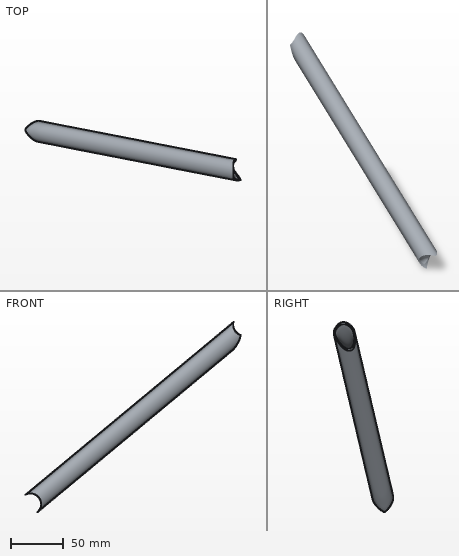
import cadquery as cq
tube_radius = 10.0
wall = 1.5
tube_length = 267.7
tube_rise = 0.83
tube_drift = -0.195
foot = cq.Vector(-96.8, 19.8, -82.8)
overrun = 10.2

cross_notch_radius = 10.1
foot_notch_offset = 0.1
head_cross_x = 105.6
head_cross_z = 87.5

lean_notch_radius = 11.2
lean_notch_offset = 0.37
lean_notch_drift = -0.46
lean_notch_shift = 0.12

cutter_length = 122.3

tube_axis = cq.Vector(1, tube_drift, tube_rise).normalized()
cross_axis = cq.Vector(0, 1, 0)
lean_axis = cq.Vector(lean_notch_shift, lean_notch_drift, 1).normalized()
head = foot + tube_axis * tube_length


def make_tube():
    """Straight stock with an open bore, longer than the finished tube."""
    start = foot - tube_axis * overrun
    length = tube_length + 2 * overrun
    stock = cq.Solid.makeCylinder(tube_radius, length, start, tube_axis)
    bore = cq.Solid.makeCylinder(tube_radius - wall, length, start, tube_axis)
    return stock.cut(bore)


def notch_cutter(centre, axis, radius):
    """Cylinder lying across the tube, with its middle at the given centre."""
    return cq.Solid.makeCylinder(radius, cutter_length, centre - axis * (cutter_length / 2), axis)


def beside(centre, axis, offset):
    """Point moved off the tube axis, square to both the tube and the notch axis."""
    return centre + tube_axis.cross(axis).normalized() * offset


foot_cutter = notch_cutter(beside(foot, cross_axis, foot_notch_offset), cross_axis, cross_notch_radius)
lean_cutter = notch_cutter(beside(head, lean_axis, lean_notch_offset), lean_axis, lean_notch_radius)
head_cross_centre = cq.Vector(head_cross_x, head.y, head_cross_z)
head_cross_cutter = notch_cutter(head_cross_centre, cross_axis, cross_notch_radius)

pieces = make_tube().cut(foot_cutter, lean_cutter, head_cross_cutter)
result = cq.Workplane(max(pieces.Solids(), key=lambda piece: piece.Volume()))